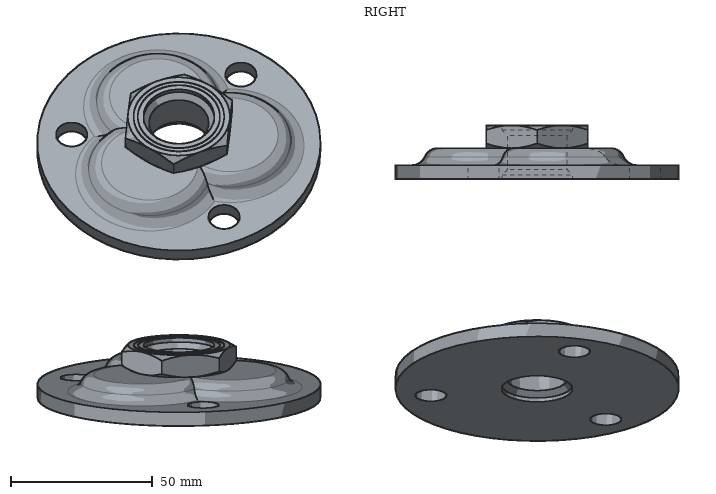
import cadquery as cq
import math

flange_diameter = 100.0
flange_thickness = 5.0
bolt_hole_count = 3
bolt_hole_diameter = 11.0
bolt_circle_radius = 38.0

lobe_count = 3
lobe_height = 6.0
lobe_offset = 18.0
lobe_flat_radius = 17.0
lobe_flank_radius = 5.0

nut_sides = 6
nut_across_flats = 36.0
nut_height = 8.0
nut_chamfer_angle = 30.0
hub_diameter = 35.0

bore_diameter = 21.0
mouth_diameter = 25.0
mouth_depth = 1.5
groove_inner_diameter = 29.0
groove_outer_diameter = 32.0
groove_depth = 0.2

lobe_top = flange_thickness + lobe_height
nut_top = lobe_top + nut_height


def make_flange():
    """Round plate, before drilling."""
    return cq.Workplane("XY").circle(flange_diameter / 2).extrude(flange_thickness)


def make_lobe(angle):
    """Dome whose flank is a convex arc running into an equal concave arc, level at both ends."""
    half_rise = lobe_height / 2
    half_run = math.sqrt(lobe_flank_radius**2 - (lobe_flank_radius - half_rise) ** 2)
    middle_radius = lobe_flat_radius + half_run
    foot_radius = middle_radius + half_run
    middle_height = flange_thickness + half_rise
    lobe = (
        cq.Workplane("XZ")
        .lineTo(0, lobe_top)
        .lineTo(lobe_flat_radius, lobe_top)
        .tangentArcPoint((middle_radius, middle_height), relative=False)
        .tangentArcPoint((foot_radius, flange_thickness), relative=False)
        .lineTo(foot_radius, 0)
        .close()
        .revolve(360, (0, 0, 0), (0, 1, 0))
    )
    return lobe.translate((0, -lobe_offset, 0)).rotate((0, 0, 0), (0, 0, 1), angle)


def make_hub():
    """Round core that fills the valleys between the lobes under the nut."""
    return cq.Workplane("XY").circle(hub_diameter / 2).extrude(lobe_top)


def make_nut():
    """Hexagon with its corners along X, trimmed by a cone at both ends."""
    flat_radius = nut_across_flats / 2
    corner_radius = flat_radius / math.cos(math.pi / nut_sides)
    corner_drop = (corner_radius - flat_radius) * math.tan(math.radians(nut_chamfer_angle))
    hexagon = (
        cq.Workplane("XY")
        .workplane(offset=lobe_top)
        .polygon(nut_sides, 2 * corner_radius)
        .extrude(nut_height)
    )
    envelope = (
        cq.Workplane("XZ")
        .moveTo(0, lobe_top)
        .lineTo(flat_radius, lobe_top)
        .lineTo(corner_radius, lobe_top + corner_drop)
        .lineTo(corner_radius, nut_top - corner_drop)
        .lineTo(flat_radius, nut_top)
        .lineTo(0, nut_top)
        .close()
        .revolve(360, (0, 0, 0), (0, 1, 0))
    )
    return hexagon.intersect(envelope)


def make_bore():
    """Through bore, widened alike at both ends by a 45 degree cone and a short cylinder."""
    bore_radius = bore_diameter / 2
    mouth_radius = mouth_diameter / 2
    cone_depth = mouth_depth + mouth_radius - bore_radius
    return (
        cq.Workplane("XZ")
        .lineTo(mouth_radius, 0)
        .lineTo(mouth_radius, mouth_depth)
        .lineTo(bore_radius, cone_depth)
        .lineTo(bore_radius, nut_top - cone_depth)
        .lineTo(mouth_radius, nut_top - mouth_depth)
        .lineTo(mouth_radius, nut_top)
        .lineTo(0, nut_top)
        .close()
        .revolve(360, (0, 0, 0), (0, 1, 0))
    )


def make_groove():
    """Shallow ring groove in the top face of the nut."""
    return (
        cq.Workplane("XY")
        .workplane(offset=nut_top - groove_depth)
        .circle(groove_outer_diameter / 2)
        .circle(groove_inner_diameter / 2)
        .extrude(groove_depth)
    )


def make_bolt_holes():
    """Cutters for the flange holes, one in each gap between lobes, starting on +Y."""
    return (
        cq.Workplane("XY")
        .polarArray(bolt_circle_radius, 90, 360, bolt_hole_count)
        .circle(bolt_hole_diameter / 2)
        .extrude(lobe_top)
    )


body = make_flange()
for index in range(lobe_count):
    body = body.union(make_lobe(index * 360 / lobe_count))
body = body.union(make_hub()).union(make_nut())

result = body.cut(make_bore()).cut(make_groove()).cut(make_bolt_holes())